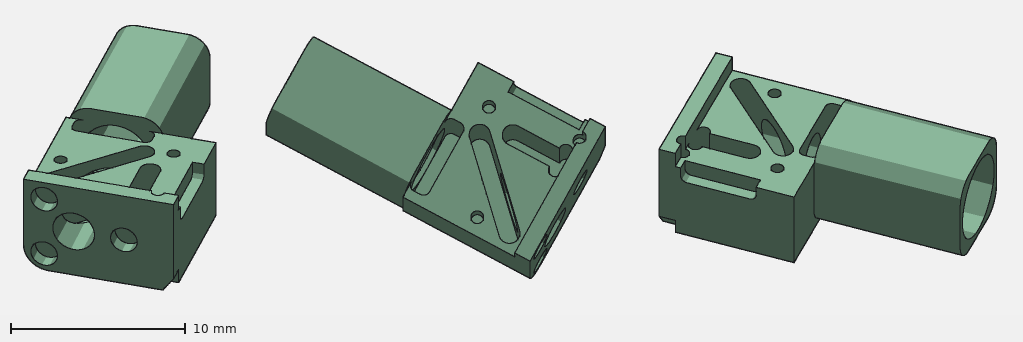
import cadquery as cq


total_length = 17.3
block_width = 9.0
block_height = 6.0
block_length = 8.3
plate_thickness = 1.0
deck_drop = 1.0
deck_z = block_height - deck_drop
round_corner_radius = 1.5
chamfer_width = 0.64
chamfer_height = 0.9

axis_x = 3.01
axis_z = block_height / 2
bore_diameter = 2.49

tube_length = total_length - block_length
tube_size = 5.75
tube_corner_radius = 1.38
tube_mouth_diameter = 4.0
tube_mouth_length = 0.31
tube_bore_diameter = 5.0

pocket_depth = tube_mouth_diameter
pocket_floor_z = deck_z - pocket_depth
lens_slot_width = 4.8
lens_slot_length = 1.2
lens_slot_corner_radius = 0.4

mirror_slot_start = (1.07, 1.94)
mirror_slot_run = 4.25
mirror_slot_radius = 0.6

sensor_slot_x = 6.21
sensor_slot_width = 1.21
sensor_slot_end_y = 5.12
sensor_foot_width = 2.06
sensor_foot_length = 0.8

pin_hole_diameter = 0.75
pin_hole_depth = 1.0
pin_hole_floor_z = deck_z - pin_hole_depth
pin_hole_places = [(1.0, 4.0), (7.0, 6.5), (7.75, plate_thickness)]

recess_diameter = 1.6
recess_depth = 0.86
recess_side_x = 1.25
recess_rise = 1.87
recess_far_x = 6.02
recess_places = [
    (recess_side_x, axis_z + recess_rise),
    (recess_side_x, axis_z - recess_rise),
    (recess_far_x, axis_z),
]

notch_width = 0.7
notch_depth = 1.0
notch_start_y = 1.33
notch_end_y = 5.97
notch_fillet = 0.4


def box(x_range, y_range, z_range):
    """Box given by its low and high limits along each axis."""
    lows, highs = zip(x_range, y_range, z_range)
    sizes = [high - low for low, high in zip(lows, highs)]
    return cq.Workplane("XY").box(*sizes, centered=False).translate(lows)


def rod_along_y(x, z, diameter, y_start, y_end):
    """Round bar along +Y between two Y positions."""
    plane = cq.Workplane("XZ", origin=(x, y_start, z))
    return plane.circle(diameter / 2).extrude(y_start - y_end)


def pocket_plane():
    """Work plane at the floor of the deck pockets."""
    return cq.Workplane("XY").workplane(offset=pocket_floor_z)


def make_block():
    block = box((0, block_width), (0, block_length), (0, block_height))
    block = block.edges("|Y and <X and <Z").fillet(round_corner_radius)
    space_over_deck = box(
        (0, block_width),
        (plate_thickness, block_length),
        (deck_z, block_height),
    )
    chamfer = (
        cq.Workplane("XZ")
        .moveTo(block_width, 0)
        .lineTo(block_width, chamfer_height)
        .lineTo(block_width - chamfer_width, 0)
        .close()
        .extrude(-plate_thickness)
    )
    return block.cut(space_over_deck).cut(chamfer)


def make_tube():
    return (
        cq.Workplane("XZ", origin=(axis_x, block_length, axis_z))
        .rect(tube_size, tube_size)
        .extrude(-tube_length)
        .edges("|Y")
        .fillet(tube_corner_radius)
    )


def make_lens_slot():
    return (
        pocket_plane()
        .center(axis_x, block_length - lens_slot_length / 2)
        .rect(lens_slot_width, lens_slot_length)
        .extrude(pocket_depth)
        .edges("|Z")
        .fillet(lens_slot_corner_radius)
    )


def make_mirror_slot():
    """Round-ended slot running at 45 degrees across the bore."""
    start_x, start_y = mirror_slot_start
    middle = (start_x + mirror_slot_run / 2, start_y + mirror_slot_run / 2)
    length = mirror_slot_run * 2**0.5 + 2 * mirror_slot_radius
    return (
        pocket_plane()
        .center(*middle)
        .slot2D(length, 2 * mirror_slot_radius, 45)
        .extrude(pocket_depth)
    )


def make_sensor_slot():
    """Straight slot with a wider round-ended foot against the front plate."""
    foot_y = plate_thickness + sensor_foot_length / 2
    stem_radius = sensor_slot_width / 2
    stem_length = sensor_slot_end_y - stem_radius - foot_y
    foot = (
        pocket_plane()
        .center(sensor_slot_x, foot_y)
        .slot2D(sensor_foot_width, sensor_foot_length)
        .extrude(pocket_depth)
    )
    stem = (
        pocket_plane()
        .center(sensor_slot_x, foot_y + stem_length / 2)
        .rect(sensor_slot_width, stem_length)
        .extrude(pocket_depth)
    )
    stem_end = (
        pocket_plane()
        .center(sensor_slot_x, foot_y + stem_length)
        .circle(stem_radius)
        .extrude(pocket_depth)
    )
    return foot.union(stem).union(stem_end)


def make_pin_holes():
    return (
        cq.Workplane("XY")
        .workplane(offset=pin_hole_floor_z)
        .pushPoints(pin_hole_places)
        .circle(pin_hole_diameter / 2)
        .extrude(block_height - pin_hole_floor_z)
    )


def make_notch():
    notch = box(
        (block_width - notch_width, block_width),
        (notch_start_y, notch_end_y),
        (deck_z - notch_depth, deck_z),
    )
    return notch.edges("|X and <Z").fillet(notch_fillet)


def make_bore():
    """Stepped bore along the optical axis, open at both ends."""
    mouth_end_y = block_length + tube_mouth_length
    block_bore = rod_along_y(axis_x, axis_z, bore_diameter, 0, block_length)
    mouth = rod_along_y(axis_x, axis_z, tube_mouth_diameter, block_length, mouth_end_y)
    tube_bore = rod_along_y(axis_x, axis_z, tube_bore_diameter, mouth_end_y, total_length)
    return block_bore.union(mouth).union(tube_bore)


result = make_block().union(make_tube()).cut(make_bore())
for recess_x, recess_z in recess_places:
    result = result.cut(rod_along_y(recess_x, recess_z, recess_diameter, 0, recess_depth))
result = (
    result.cut(make_lens_slot())
    .cut(make_mirror_slot())
    .cut(make_sensor_slot())
    .cut(make_pin_holes())
    .cut(make_notch())
)